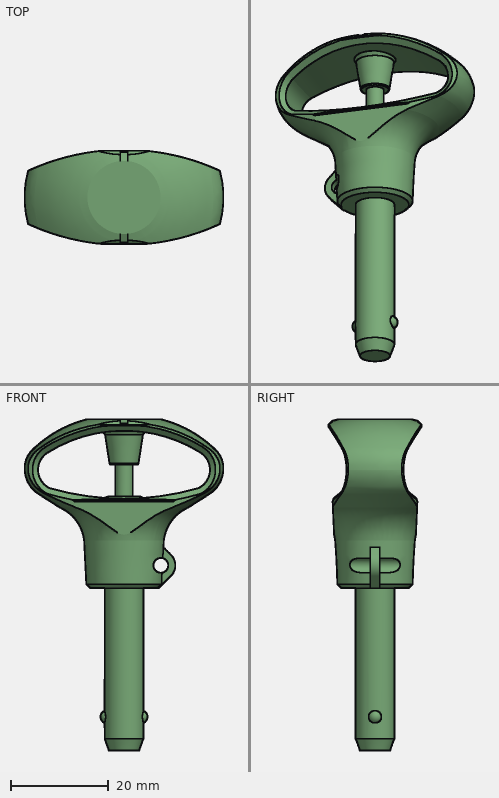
import cadquery as cq
import math


shank_radius = 4.0
tip_radius = 3.1
tip_height = 2.5
shank_top = 33.35

ball_radius = 1.35
ball_offset = 3.5
ball_height = 6.95

collar_top = 43.1
collar_top_radius = 8.2
collar_bottom_radius = 7.75
collar_chamfer = 0.8

ear_center = (7.55, 38.0)
ear_radius = 3.0
ear_hole_radius = 1.5
ear_thickness = 2.0

total_height = 68.0
top_flat_radius = 7.5
crown_mid = (13.4, 65.68)
crown_end = (18.35, 62.1)
upper_rim_mid = (19.85, 60.25)
rim = (20.42, 57.6)
lower_rim_mid = (19.5, 54.6)
cone_top = (17.65, 52.7)
cone_bottom = (13.15, 49.85)
neck_mid = (9.6, 46.9)

side_arc_radius = 46.8
side_arc_apex = 9.8
side_half_width = 9.6
facet_top = 51.05
facet_top_half_width = 8.72
facet_base_half_width = 8.36
facet_lip_height = 0.35
facet_lip_inset = 0.12
facet_clear_height = 58.0
crown_bevel_start = 66.8

opening_center_top = 65.6
opening_center_bottom = 51.7
opening_top_radius = 29.5
opening_bottom_radius = 55.0
opening_top_corner_x = 15.9
opening_bottom_corner_x = 15.3
opening_end = (17.6, 57.6)
mouth_chamfer = 1.25

rod_radius = 1.82
button_bottom = 58.65
button_chamfer_height = 0.3
button_bottom_radius = 2.85
button_edge_radius = 3.0
button_top = 64.75
button_top_radius = 3.9
flange_radius = 4.4
button_flange_height = 0.8
pad_top = 52.2
pad_top_radius = 3.1
pad_sink = 0.3

mark_width = 1.5
mark_end = 8.95
mark_drop = 0.7

reach = 60.0
margin = 0.05


def arc_drop(radius, offset):
    """How far an arc has dropped from its apex at a sideways offset."""
    return radius - math.sqrt(radius**2 - offset**2)


def make_shank():
    """Pin with a tapered tip and two balls, reaching up inside the collar."""
    outline = [
        (0, 0),
        (tip_radius, 0),
        (shank_radius, tip_height),
        (shank_radius, collar_top),
        (0, collar_top),
    ]
    shank = cq.Workplane("XZ").polyline(outline).close().revolve(360, (0, 0), (0, 1))
    for side in (-1, 1):
        ball = cq.Workplane("XY").sphere(ball_radius).translate((side * ball_offset, 0, ball_height))
        shank = shank.union(ball)
    return shank


def make_handle_blank():
    """Collar, neck and handle as one body of revolution, its seam turned away from the ear."""
    return (
        cq.Workplane("XZ")
        .moveTo(0, shank_top)
        .lineTo(collar_bottom_radius - collar_chamfer, shank_top)
        .lineTo(collar_bottom_radius, shank_top + collar_chamfer)
        .lineTo(collar_top_radius, collar_top)
        .threePointArc(neck_mid, cone_bottom)
        .lineTo(*cone_top)
        .threePointArc(lower_rim_mid, rim)
        .threePointArc(upper_rim_mid, crown_end)
        .threePointArc(crown_mid, (top_flat_radius, total_height))
        .lineTo(0, total_height)
        .close()
        .revolve(360, (0, 0), (0, 1))
        .rotate((0, 0, 0), (0, 0, 1), 180)
    )


def make_plan_envelope():
    """Upright body with two bowed sides that narrows the handle towards its ends."""
    end_x = rim[0] + margin
    end_y = side_arc_apex - arc_drop(side_arc_radius, end_x)
    return (
        cq.Workplane("XY")
        .moveTo(-end_x, -end_y)
        .threePointArc((0, -side_arc_apex), (end_x, -end_y))
        .lineTo(end_x, end_y)
        .threePointArc((0, side_arc_apex), (-end_x, end_y))
        .close()
        .extrude(total_height)
    )


def make_side_envelope():
    """Flat sides: tapered facets under the opening, upright faces with a 45 degree bevel above it."""
    lip_half_width = facet_top_half_width - facet_lip_inset
    bevel_run = total_height - crown_bevel_start
    half = [
        (facet_base_half_width, 0),
        (facet_base_half_width, collar_top),
        (facet_top_half_width, facet_top),
        (lip_half_width, facet_top + facet_lip_height),
        (lip_half_width, facet_clear_height),
        (side_half_width, facet_clear_height),
        (side_half_width, crown_bevel_start),
        (side_half_width - bevel_run, total_height),
    ]
    mirrored = [(-y, z) for y, z in reversed(half)]
    return cq.Workplane("YZ").polyline(half + mirrored).close().extrude(reach, both=True)


def make_opening():
    """Cutter for the finger opening, running through along Y."""
    top_z = opening_center_top - arc_drop(opening_top_radius, opening_top_corner_x)
    bottom_z = opening_center_bottom + arc_drop(opening_bottom_radius, opening_bottom_corner_x)
    end_x, end_z = opening_end
    return (
        cq.Workplane("XZ")
        .moveTo(-opening_top_corner_x, top_z)
        .threePointArc((0, opening_center_top), (opening_top_corner_x, top_z))
        .threePointArc((end_x, end_z), (opening_bottom_corner_x, bottom_z))
        .threePointArc((0, opening_center_bottom), (-opening_bottom_corner_x, bottom_z))
        .threePointArc((-end_x, end_z), (-opening_top_corner_x, top_z))
        .close()
        .extrude(reach, both=True)
    )


def make_plunger():
    """Floor pad, rod and tapered button as one body sunk slightly into the handle at both ends."""
    flange_bottom = opening_center_bottom - pad_sink
    flange_top = button_top + button_flange_height
    outline = [
        (0, flange_bottom),
        (flange_radius, flange_bottom),
        (flange_radius, opening_center_bottom),
        (pad_top_radius, pad_top),
        (rod_radius, pad_top),
        (rod_radius, button_bottom),
        (button_bottom_radius, button_bottom),
        (button_edge_radius, button_bottom + button_chamfer_height),
        (button_top_radius, button_top),
        (flange_radius, flange_top),
        (flange_radius, opening_center_top + pad_sink),
        (0, opening_center_top + pad_sink),
    ]
    return cq.Workplane("XZ").polyline(outline).close().revolve(360, (0, 0), (0, 1))


def make_ear():
    """Rounded tab whose two flanks run at 45 degrees into the collar."""
    x, z = ear_center
    tangent = ear_radius * math.sqrt(0.5)
    root_x = (shank_radius + collar_bottom_radius) / 2
    upper_run = x + tangent - root_x
    lower_run = z - tangent - shank_top
    return (
        cq.Workplane("XZ")
        .moveTo(root_x, z + tangent + upper_run)
        .lineTo(x + tangent, z + tangent)
        .threePointArc((x + ear_radius, z), (x + tangent, z - tangent))
        .lineTo(x + tangent - lower_run, shank_top)
        .lineTo(root_x, shank_top)
        .close()
        .extrude(ear_thickness / 2, both=True)
    )


def make_ear_hole():
    x, z = ear_center
    return cq.Workplane("XZ").center(x, z).circle(ear_hole_radius).extrude(reach, both=True)


def make_crown_mark():
    """Cutter for a narrow flat running from the round top flat down to the crown bevel."""
    start = top_flat_radius
    slope = mark_drop / (mark_end - top_flat_radius)
    end = side_half_width
    outline = [(start, total_height), (end, total_height), (end, total_height - slope * (end - start))]
    return cq.Workplane("YZ").polyline(outline).close().extrude(mark_width / 2, both=True)


def mouth_edges(handle, side):
    """Rim of the finger opening on the -Y (side = -1) or +Y (side = 1) face."""
    end_x = opening_end[0] + margin
    low = opening_center_bottom - margin
    high = opening_center_top + margin
    near = side * margin
    far = side * (side_arc_apex + margin)
    corner_a = (-end_x, min(near, far), low)
    corner_b = (end_x, max(near, far), high)
    return handle.edges(cq.selectors.BoxSelector(corner_a, corner_b, boundingbox=True))


def make_handle():
    handle = make_handle_blank().intersect(make_plan_envelope()).cut(make_opening())
    for side in (-1, 1):
        handle = mouth_edges(handle, side).chamfer(mouth_chamfer)
    handle = handle.intersect(make_side_envelope())
    mark = make_crown_mark()
    return handle.cut(mark).cut(mark.mirror("XZ"))


def make_part():
    gripped = make_handle().union(make_ear()).cut(make_ear_hole())
    return gripped.union(make_plunger()).union(make_shank())


result = make_part()